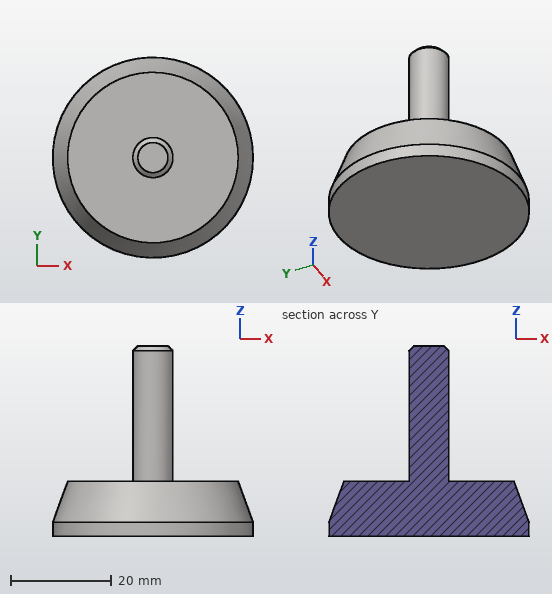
import cadquery as cq

base_diameter = 40.0
base_top_diameter = 34.0
rim_height = 2.8
base_height = 11.0

stud_diameter = 8.0
total_height = 38.0
stud_chamfer = 1.0


def make_base():
    rim = cq.Workplane("XY").circle(base_diameter / 2).extrude(rim_height)
    cone = (
        rim.faces(">Z").workplane()
        .circle(base_diameter / 2)
        .workplane(offset=base_height - rim_height)
        .circle(base_top_diameter / 2)
        .loft(combine=True)
    )
    return cone


def make_stud():
    stud = (
        cq.Workplane("XY").workplane(offset=rim_height)
        .circle(stud_diameter / 2)
        .extrude(total_height - rim_height)
    )
    return stud.faces(">Z").chamfer(stud_chamfer)


result = make_base().union(make_stud())